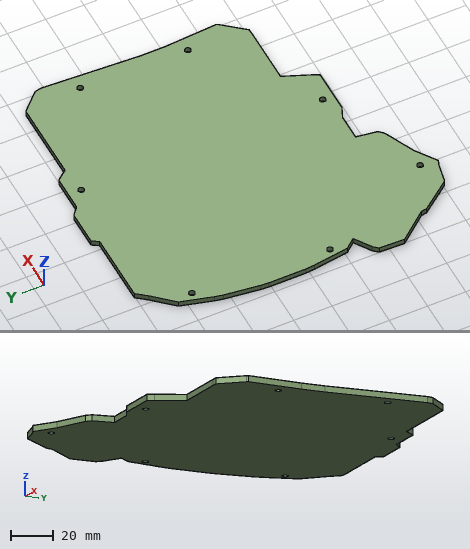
import cadquery as cq

length_x = 160.48
length_y = 167.95
thickness = 3.0
hole_diameter = 3.0

left = -length_x / 2
right = length_x / 2
rear = length_y / 2
front = -length_y / 2

rear_left_edge = 80.5
rear_right_edge = 75.1
front_right_edge = -41.3
front_tab_edge = -58.4
front_step_edge = -55.9

rear_outline = [
    (-54.1, rear_left_edge),
    (-17.8, rear_left_edge),
    (-15.6, rear),
    (2.4, rear),
    (6.5, rear_left_edge),
    (25.1, rear_left_edge),
    (29.5, rear_right_edge),
    (70.5, rear_right_edge),
]

right_outline = [
    (79.5, 65.8),
    (right, 62.6),
    (77.5, 11.2),
    (77.5, -0.8),
    (79.2, -29.0),
    (78.7, -29.8),
]

front_outline = [
    (69.3, -41.2),
    (66.1, front_right_edge),
    (36.8, front_right_edge),
    (30.9, -55.3),
    (29.4, front_tab_edge),
    (6.5, front_tab_edge),
    (0.8, front_step_edge),
    (-12.7, front_step_edge),
]

lobe_outline = [
    (-14.4, -66.7),
    (-16.7, -69.1),
    (-32.5, -76.5),
    (-43.2, front),
    (-46.2, -82.9),
    (-56.0, -80.9),
    (-67.7, -65.6),
    (-67.9, -64.2),
    (-68.2, -62.6),
    (left, -47.9),
    (-79.8, -34.8),
    (-77.7, -32.3),
    (-69.1, -26.5),
]

left_outline = [
    (-73.3, -21.3),
    (-75.8, -2.9),
    (-76.2, 1.6),
    (-76.2, 21.0),
    (-75.9, 25.2),
    (-73.5, 43.5),
    (-72.6, 47.7),
    (-68.0, 64.4),
    (-58.5, 74.9),
]

hole_centres = [
    (15.0, 73.8),
    (72.2, 45.8),
    (70.8, -9.8),
    (15.0, -52.5),
    (-42.0, -75.0),
    (-70.2, -13.8),
    (-65.8, 56.2),
]


def make_plate():
    outline = rear_outline + right_outline + front_outline + lobe_outline + left_outline
    return cq.Workplane("XY").polyline(outline).close().extrude(thickness)


def drill_mounting_holes(plate):
    top_face = plate.faces(">Z").workplane(origin=(0, 0, thickness))
    return top_face.pushPoints(hole_centres).hole(hole_diameter)


result = drill_mounting_holes(make_plate())